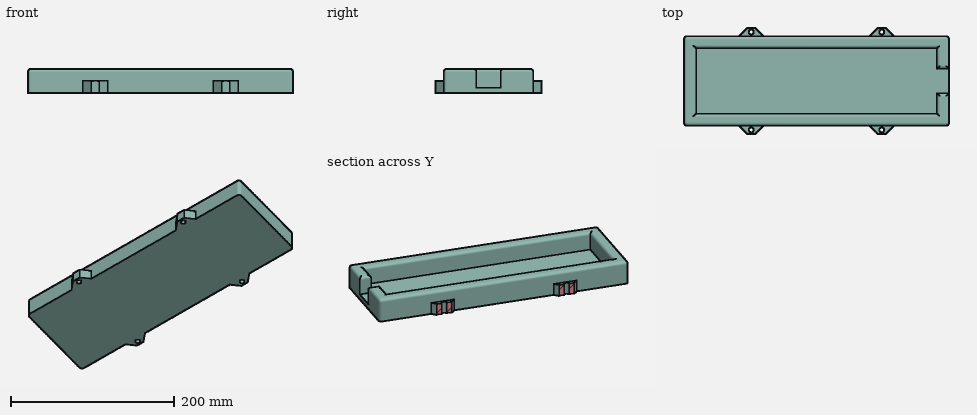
import cadquery as cq

length = 325.0
total_width = 130.0
height = 30.0
ear_reach = 10.0
body_width = total_width - 2 * ear_reach
wall = 15.0
floor_thickness = 6.8
edge_radius = 4.0

slot_width = 30.0

ear_spacing = 160.0
ear_tip_width = 10.0
ear_base_width = ear_tip_width + 2 * ear_reach
ear_height = 15.0
ear_hole_diameter = 6.0
ear_hole_offset = ear_reach / 2


def make_tray():
    """Open-topped tray with an end slot and rounded rim."""
    tray = (
        cq.Workplane("XY")
        .box(length, body_width, height, centered=(True, True, False))
        .edges("|Z")
        .fillet(edge_radius)
    )
    cavity = (
        cq.Workplane("XY", origin=(0, 0, floor_thickness))
        .rect(length - 2 * wall, body_width - 2 * wall)
        .extrude(height)
    )
    slot = (
        cq.Workplane("XY", origin=(length / 2, 0, floor_thickness))
        .rect(2 * wall, slot_width)
        .extrude(height)
    )
    return tray.cut(cavity).cut(slot).faces(">Z").edges().fillet(edge_radius)


def make_ear(x_centre, side):
    """Tapered ear with a vertical screw hole; side is +1 for +Y, -1 for -Y."""
    root_y = side * body_width / 2
    tip_y = side * total_width / 2
    ear = (
        cq.Workplane("XY")
        .polyline([
            (x_centre - ear_base_width / 2, root_y),
            (x_centre - ear_tip_width / 2, tip_y),
            (x_centre + ear_tip_width / 2, tip_y),
            (x_centre + ear_base_width / 2, root_y),
        ])
        .close()
        .extrude(ear_height)
    )
    hole = (
        cq.Workplane("XY")
        .center(x_centre, root_y + side * ear_hole_offset)
        .circle(ear_hole_diameter / 2)
        .extrude(ear_height)
    )
    return ear.cut(hole)


result = make_tray()
for x_centre in (-ear_spacing / 2, ear_spacing / 2):
    for side in (-1, 1):
        result = result.union(make_ear(x_centre, side))